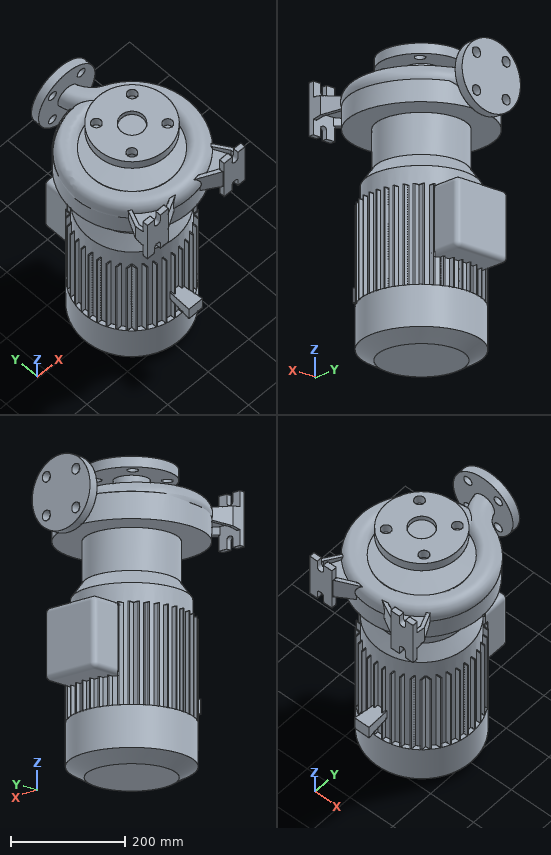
import cadquery as cq
import math

height = 563.0

motor_radius = 116.5
fan_end_radius = 83.5
fan_chamfer_height = 19.5
fan_cowl_top = 98.5
frame_radius = 107.5
fins_top = 287.5
frame_top = 324.5

fin_thickness = 2.0
fin_pitch_radius = 117.0
fin_pitch_angle = 9.0
fins_per_half_group = 5
fin_root_overlap = 5.5

box_width = 122.0
box_bottom = 154.0
box_back_y = 159.5
box_root_y = 84.5
box_fillet = 10.0

block_width = 34.0
block_center_z = 161.0
block_tip_y = -159.0
block_root_y = -101.5
block_height = 28.0
block_taper_angle = 4.5

lantern_radius = 87.0
lantern_bottom = 352.5
casing_radius = 140.0
casing_bottom = 431.0
casing_rim_z = 481.5

volute_z = 482.5
volute_radius = 118.0
tube_radius = 23.5
tongue_tube_radius = 19.0
tongue_angle = 66.5
taper_start_angle = 180.0
taper_sections = 5
cover_edge_z = 486.0

neck_radius = 32.5
neck_bottom = 498.0
suction_flange_radius = 83.0
suction_flange_thickness = 19.5
suction_bolt_circle_radius = 62.5
suction_bolt_hole_radius = 10.0
suction_bore_radius = 26.0
suction_bore_depth = 10.0

discharge_flange_radius = 70.0
discharge_flange_thickness = 18.0
discharge_bolt_circle_radius = 50.0
discharge_bolt_hole_radius = 9.5

foot_front_y = -160.0
foot_thickness = 11.0
foot_inner_x = 68.5
foot_outer_x = 120.5
foot_bottom = 432.5
foot_top = 533.0
foot_slot_x = 95.5
foot_slot_width = 14.0
foot_slot_depth = 22.5
web_half_height = 23.0
web_taper = 0.17
web_end_y = -79.0
outer_web_thickness = 7.5
outer_web_knee_y = -130.0
outer_web_knee_inside_y = -132.0
outer_web_end = (97.0, -82.0)
outer_web_inside_end = (90.5, -85.0)
inner_web_back_start_x = 72.0
inner_web_front_start_y = -156.5
inner_web_front_end = (19.5, -129.5)
inner_web_back_end = (23.0, -122.0)
web_floor_thickness = 11.0

flange_bolt_count = 4
first_bolt_angle = 45.0
foot_back_y = foot_front_y + foot_thickness


def front_facing(y_start, z_center):
    """Workplane facing -Y, so extrusions run toward -Y; local x is X and local y is Z."""
    plane = cq.Plane(origin=(0, y_start, z_center), xDir=(1, 0, 0), normal=(0, -1, 0))
    return cq.Workplane(plane)


def box_between(x_range, y_range, z_range):
    """Axis-aligned block spanning the three given ranges."""
    size = [end - start for start, end in (x_range, y_range, z_range)]
    corner = (x_range[0], y_range[0], z_range[0])
    return cq.Workplane("XY").box(*size, centered=False).translate(corner)


def turned_body():
    """Motor, lantern, casing and suction port as one revolved outline."""
    suction_flange_bottom = height - suction_flange_thickness
    outline = [
        (0, 0),
        (fan_end_radius, 0),
        (motor_radius, fan_chamfer_height),
        (motor_radius, fan_cowl_top),
        (frame_radius, fan_cowl_top),
        (frame_radius, frame_top),
        (lantern_radius, lantern_bottom),
        (lantern_radius, casing_bottom),
        (casing_radius, casing_bottom),
        (casing_radius, casing_rim_z),
        (volute_radius, casing_rim_z),
        (volute_radius, cover_edge_z),
        (neck_radius, neck_bottom),
        (neck_radius, suction_flange_bottom),
        (suction_flange_radius, suction_flange_bottom),
        (suction_flange_radius, height),
        (0, height),
    ]
    return cq.Workplane("XZ").polyline(outline).close().revolve(360, (0, 0, 0), (0, 1, 0))


def finned_frame():
    """Motor frame with parallel fins on all four sides, trimmed to the motor radius."""
    fin_height = fins_top - fan_cowl_top
    base = cq.Workplane("XY", origin=(0, 0, fan_cowl_top))
    frame = base.circle(frame_radius).extrude(fin_height)
    for index in range(fins_per_half_group):
        angle = math.radians(fin_pitch_angle * (index + 0.5))
        offset = fin_pitch_radius * math.sin(angle)
        root = frame_radius * math.cos(angle) - fin_root_overlap
        for side in (-1, 1):
            plate = (
                base.center((root + motor_radius) / 2, side * offset)
                .rect(motor_radius - root, fin_thickness)
                .extrude(fin_height)
            )
            for turn in (0, 90, 180, 270):
                frame = frame.union(plate.rotate((0, 0, 0), (0, 0, 1), turn))
    return frame.intersect(base.circle(motor_radius).extrude(fin_height))


def terminal_box():
    """Rounded box on the back of the motor."""
    half_width = box_width / 2
    box = box_between((-half_width, half_width), (box_root_y, box_back_y), (box_bottom, fins_top))
    return box.edges("|Y or >Y").fillet(box_fillet)


def support_block():
    """Block on the front of the frame, narrowing toward its root on all four sides."""
    return (
        cq.Workplane("XZ", origin=(0, block_tip_y, block_center_z))
        .rect(block_width, block_height)
        .extrude(block_tip_y - block_root_y, taper=block_taper_angle)
    )


def tube_section(angle, section_radius, center_radius):
    """Circular wire across the volute at an angle about the shaft axis."""
    turn = math.radians(angle)
    center = cq.Vector(center_radius * math.cos(turn), center_radius * math.sin(turn), volute_z)
    tangent = cq.Vector(-math.sin(turn), math.cos(turn), 0)
    return cq.Wire.makeCircle(section_radius, center, tangent)


def volute_ring():
    """Constant part of the volute, from the taper round the front to the discharge bend."""
    sweep_angle = 360 - taper_start_angle + tongue_angle
    ring = (
        cq.Workplane("XZ")
        .center(volute_radius, volute_z)
        .circle(tube_radius)
        .revolve(sweep_angle, (-volute_radius, 0, 0), (-volute_radius, -1, 0))
    )
    return ring.rotate((0, 0, 0), (0, 0, 1), tongue_angle)


def volute_taper():
    """Narrowing start of the volute; its inner edge keeps the same radius."""
    inner_radius = volute_radius - tube_radius
    sections = []
    for index in range(taper_sections):
        fraction = index / (taper_sections - 1)
        angle = taper_start_angle + fraction * (tongue_angle - taper_start_angle)
        section_radius = tube_radius + fraction * (tongue_tube_radius - tube_radius)
        sections.append(tube_section(angle, section_radius, inner_radius + section_radius))
    return cq.Workplane(cq.Solid.makeLoft(sections))


tongue_turn = math.radians(tongue_angle)
bend_start_x = volute_radius * math.cos(tongue_turn)
bend_start_y = volute_radius * math.sin(tongue_turn)
bend_radius = bend_start_x / (1 - math.cos(tongue_turn))
discharge_face_y = bend_start_y + bend_radius * math.sin(tongue_turn)


def discharge_bend():
    """Bent pipe from the volute ring to the discharge flange."""
    return (
        cq.Workplane("XZ", origin=(0, discharge_face_y, volute_z))
        .circle(tube_radius)
        .revolve(tongue_angle, (bend_radius, 0, 0), (bend_radius, 1, 0))
    )


def bolt_holes(face, circle_radius, hole_radius, depth):
    """Bolt hole cutters on a pitch circle, running along the normal of the face plane."""
    return (
        face.polarArray(circle_radius, first_bolt_angle, 360, flange_bolt_count)
        .circle(hole_radius)
        .extrude(depth)
    )


def discharge_flange():
    """Round flange with its outer face toward +Y, and its bolt holes."""
    face = front_facing(discharge_face_y, volute_z)
    flange = face.circle(discharge_flange_radius).extrude(discharge_flange_thickness)
    holes = bolt_holes(
        face,
        discharge_bolt_circle_radius,
        discharge_bolt_hole_radius,
        discharge_flange_thickness,
    )
    return flange.cut(holes)


def suction_cuts():
    """Bolt holes and shallow bore of the top flange."""
    top_face = cq.Workplane("XY", origin=(0, 0, height))
    holes = bolt_holes(
        top_face, suction_bolt_circle_radius, suction_bolt_hole_radius, -suction_flange_thickness
    )
    bore = top_face.circle(suction_bore_radius).extrude(-suction_bore_depth)
    return holes.union(bore)


def foot_plate():
    """Upright plate with a round-ended open slot at its top and bottom."""
    plate = box_between((foot_inner_x, foot_outer_x), (foot_front_y, foot_back_y), (foot_bottom, foot_top))
    for edge_z in (foot_bottom, foot_top):
        slot = (
            front_facing(foot_back_y, edge_z)
            .center(foot_slot_x, 0)
            .slot2D(2 * foot_slot_depth, foot_slot_width, 90)
            .extrude(foot_thickness)
        )
        plate = plate.cut(slot)
    return plate


def foot_bracket():
    """Two upright webs and a level floor joining the foot plate to the casing."""
    web_inside_x = foot_outer_x - outer_web_thickness
    outer_web = [
        (foot_outer_x, foot_back_y),
        (foot_outer_x, outer_web_knee_y),
        outer_web_end,
        outer_web_inside_end,
        (web_inside_x, outer_web_knee_inside_y),
        (web_inside_x, foot_back_y),
    ]
    inner_web = [
        (inner_web_back_start_x, foot_back_y),
        (foot_inner_x, inner_web_front_start_y),
        inner_web_front_end,
        inner_web_back_end,
    ]
    floor = [
        (foot_outer_x, foot_back_y),
        (foot_outer_x, outer_web_knee_y),
        outer_web_end,
        inner_web_back_end,
        (inner_web_back_start_x, foot_back_y),
    ]

    reach = web_end_y - foot_front_y
    back_half_height = web_half_height - web_taper * reach
    taper_outline = [
        (foot_front_y, volute_z - web_half_height),
        (web_end_y, volute_z - back_half_height),
        (web_end_y, volute_z + back_half_height),
        (foot_front_y, volute_z + web_half_height),
    ]
    taper = cq.Workplane("YZ").polyline(taper_outline).close().extrude(foot_outer_x)

    plan = cq.Workplane("XY", origin=(0, 0, volute_z))
    webs = plan.polyline(outer_web).close().extrude(2 * web_half_height, both=True)
    webs = webs.union(plan.polyline(inner_web).close().extrude(2 * web_half_height, both=True))
    floor_plate = plan.polyline(floor).close().extrude(web_floor_thickness / 2, both=True)
    return webs.intersect(taper).union(floor_plate)


foot = foot_plate().union(foot_bracket())

result = turned_body().union(finned_frame())
result = result.union(terminal_box()).union(support_block())
for volute_part in (volute_ring(), volute_taper(), discharge_bend(), discharge_flange()):
    result = result.union(volute_part)
result = result.union(foot).union(foot.mirror("YZ"))
result = result.cut(suction_cuts())